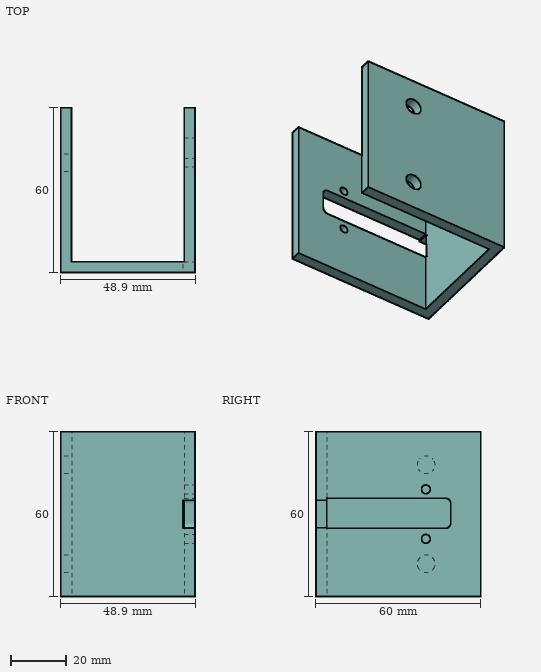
import cadquery as cq

width = 48.9
depth = 60.0
height = 60.0
wall = 4.0

slot_end = 49.0
slot_height = 11.0
slot_center_z = 30.3
slot_radius = 2.0
notch_height = 10.0
notch_width = 4.5
notch_center_z = height / 2

hole_y = depth * 2 / 3
large_diameter = 6.4
large_spacing = 36.0
small_diameter = 3.2
small_spacing = 18.0


def make_channel():
    """U-shaped channel with full-height walls."""
    outer = cq.Workplane("XY").box(width, depth, height, centered=False)
    inner = cq.Workplane("XY").box(width - 2 * wall, depth - wall, height, centered=False)
    return outer.cut(inner.translate((wall, wall, 0)))


def make_notch():
    """Square opening through the front wall at its +X edge."""
    notch = cq.Workplane("XY").box(notch_width, wall, notch_height, centered=False)
    return notch.translate((width - notch_width, 0, notch_center_z - notch_height / 2))


def make_slot():
    """Side wall cutout behind the front wall, rounded at its far end."""
    slot = cq.Workplane("XY").box(wall, slot_end - wall, slot_height, centered=False)
    slot = slot.edges(">Y and |X").fillet(slot_radius)
    return slot.translate((width - wall, wall, slot_center_z - slot_height / 2))


def make_holes(wall_x, diameter, spacing):
    """Two holes through the side wall starting at wall_x, mirrored about mid-height."""
    centers = [(hole_y, height / 2 + side * spacing / 2) for side in (-1, 1)]
    return (
        cq.Workplane("YZ", origin=(wall_x, 0, 0))
        .pushPoints(centers)
        .circle(diameter / 2)
        .extrude(wall)
    )


result = (
    make_channel()
    .cut(make_notch())
    .cut(make_slot())
    .cut(make_holes(0, large_diameter, large_spacing))
    .cut(make_holes(width - wall, small_diameter, small_spacing))
)